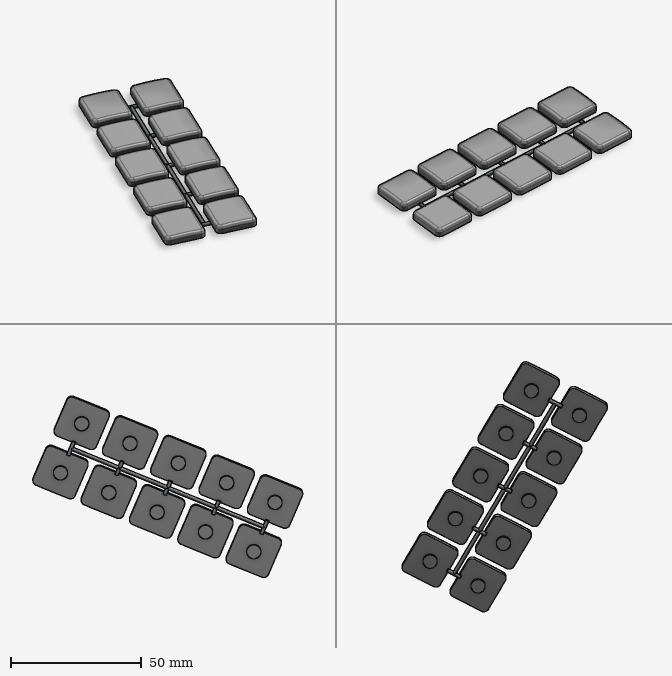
import cadquery as cq

columns = 5
overall_length = 97.45
overall_depth = 37.4
overall_height = 4.9
cap_length = 17.4
cap_depth = 16.5
column_pitch = (overall_length - cap_length) / (columns - 1)
row_pitch = overall_depth - cap_depth

cap_bottom = 1.4
cap_corner_radius = 2.0
cap_edge_radius = 1.4
crown_drop = 0.4

peg_diameter = 5.5
peg_length = 1.1

sprue_diameter = 1.5
sprue_radius = sprue_diameter / 2
cross_bar_length = 5.75

column_positions = [(i - (columns - 1) / 2) * column_pitch for i in range(columns)]
row_positions = [-row_pitch / 2, row_pitch / 2]


def make_cap():
    """Cap centred on the Z axis, with an arched top and rounded edges, on its peg."""
    half_depth = cap_depth / 2
    shoulder = overall_height - crown_drop
    body = (
        cq.Workplane("YZ", origin=(-cap_length / 2, 0, 0))
        .moveTo(-half_depth, cap_bottom)
        .lineTo(half_depth, cap_bottom)
        .lineTo(half_depth, shoulder)
        .threePointArc((0, overall_height), (-half_depth, shoulder))
        .close()
        .extrude(cap_length)
        .edges("|Z")
        .fillet(cap_corner_radius)
        .faces(">Z")
        .edges()
        .fillet(cap_edge_radius)
    )
    peg = (
        cq.Workplane("XY")
        .workplane(offset=cap_bottom - peg_length)
        .circle(peg_diameter / 2)
        .extrude(peg_length)
    )
    return body.union(peg)


def make_sprue():
    """Long bar between the end columns, with a cross bar at every column."""
    first_column = column_positions[0]
    long_bar_length = column_positions[-1] - first_column
    sprue = (
        cq.Workplane("YZ", origin=(first_column, 0, sprue_radius))
        .circle(sprue_radius)
        .extrude(long_bar_length)
    )
    for x in column_positions:
        cross_bar = (
            cq.Workplane("XZ", origin=(x, cross_bar_length / 2, sprue_radius))
            .circle(sprue_radius)
            .extrude(cross_bar_length)
        )
        sprue = sprue.union(cross_bar)
    return sprue


result = make_sprue()
cap = make_cap()
for x in column_positions:
    for y in row_positions:
        result = result.union(cap.translate((x, y, 0)))